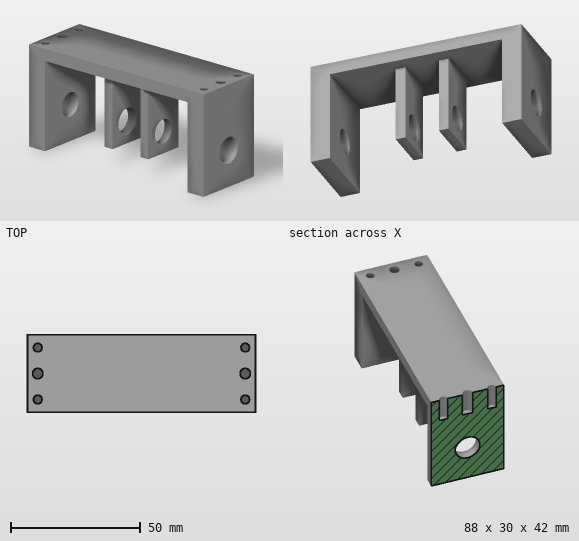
import cadquery as cq

length = 88.0
width = 30.0
height = 42.0
top_thickness = 5.0
leg_thickness = 8.0

plate_thickness = 4.0
plate_width = 18.0
plate_bottom = 6.0
first_plate_x = 33.0
second_plate_x = 51.0

bore_height = 15.0
bore_diameter = 10.0
bore_chamfer = 0.5

center_hole_diameter = 4.0
side_hole_diameter = 3.3
side_hole_offset = 10.0
top_hole_depth = 10.0

mid_width = width / 2
leg_positions = (0.0, length - leg_thickness)
plate_positions = (first_plate_x, second_plate_x)

chamfered_faces = (
    (0.0, 1),
    (first_plate_x + plate_thickness, -1),
    (second_plate_x, 1),
    (length, -1),
)


def wall(x, thickness, wall_width, bottom):
    """Wall centered across the width, from the given bottom up to the top face."""
    wall_height = height - bottom
    block = cq.Workplane("XY").box(thickness, wall_width, wall_height, centered=(False, True, False))
    return block.translate((x, mid_width, bottom))


def bore_chamfer_cone(x, direction):
    """Cone that chamfers the bore rim on the face at x, narrowing along +X or -X."""
    bore_radius = bore_diameter / 2
    start = cq.Vector(x, mid_width, bore_height)
    axis = cq.Vector(direction, 0, 0)
    return cq.Solid.makeCone(bore_radius + bore_chamfer, bore_radius, bore_chamfer, start, axis)


def top_hole(x, y, diameter):
    """Cylinder that cuts a blind hole down from the top face."""
    start = cq.Vector(x, y, height)
    return cq.Solid.makeCylinder(diameter / 2, top_hole_depth, start, cq.Vector(0, 0, -1))


result = wall(0, length, width, height - top_thickness)
for x in leg_positions:
    result = result.union(wall(x, leg_thickness, width, 0))
for x in plate_positions:
    result = result.union(wall(x, plate_thickness, plate_width, plate_bottom))

bore_start = cq.Vector(0, mid_width, bore_height)
result = result.cut(cq.Solid.makeCylinder(bore_diameter / 2, length, bore_start, cq.Vector(1, 0, 0)))
for x, direction in chamfered_faces:
    result = result.cut(bore_chamfer_cone(x, direction))

for x in leg_positions:
    hole_x = x + leg_thickness / 2
    result = result.cut(top_hole(hole_x, mid_width, center_hole_diameter))
    for offset in (-side_hole_offset, side_hole_offset):
        result = result.cut(top_hole(hole_x, mid_width + offset, side_hole_diameter))